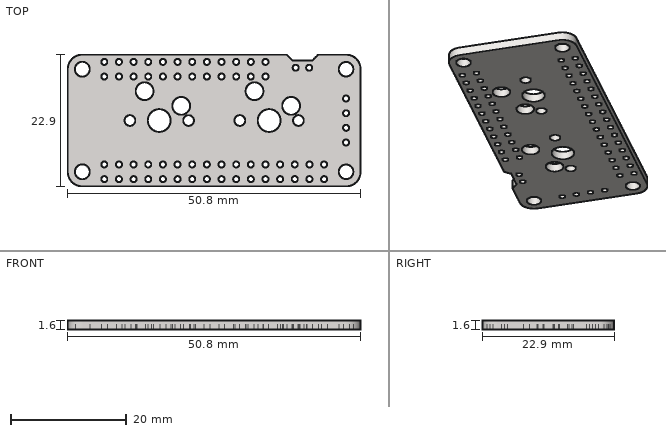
import cadquery as cq

length = 50.8
width = 22.85
thickness = 1.6
corner_radius = 2.55

pitch = 2.55
pin_diameter = 1.0
left_mount_diameter = 2.55
right_mount_diameter = 2.5
mount_inset = 2.55

outer_row_inset = 1.25
row_start_inset = 6.35
front_row_count = 16
back_row_count = 12
column_count = 4
column_inset = 2.55

notch_center_x = 15.3
notch_top_length = 5.5
notch_floor_length = 3.45
notch_depth = 1.0
notch_pin_spacing = 2.35
notch_pin_inset = 2.3

switch_spacing = 19.05
stem_diameter = 3.9
peg_diameter = 1.85
peg_offset = 2 * pitch
contact_diameter = 3.05
contact_offsets = [(-pitch, 2 * pitch), (1.5 * pitch, pitch)]


def drill(plate, points, diameter):
    """Cut through holes at the given XY points."""
    cutters = cq.Workplane("XY").pushPoints(points).circle(diameter / 2).extrude(thickness)
    return plate.cut(cutters)


def pin_row(count, y):
    """Points of one row, starting from the -X end of the plate."""
    start_x = -length / 2 + row_start_inset
    return [(start_x + i * pitch, y) for i in range(count)]


plate = cq.Workplane("XY").box(length, width, thickness, centered=(True, True, False))
plate = plate.edges("|Z").fillet(corner_radius)

edge_y = width / 2
floor_y = edge_y - notch_depth
notch = (
    cq.Workplane("XY")
    .polyline([
        (notch_center_x - notch_top_length / 2, edge_y),
        (notch_center_x - notch_floor_length / 2, floor_y),
        (notch_center_x + notch_floor_length / 2, floor_y),
        (notch_center_x + notch_top_length / 2, edge_y),
    ])
    .close()
    .extrude(thickness)
)
plate = plate.cut(notch)

mount_x = length / 2 - mount_inset
mount_y = width / 2 - mount_inset
for x, diameter in ((-mount_x, left_mount_diameter), (mount_x, right_mount_diameter)):
    plate = drill(plate, [(x, -mount_y), (x, mount_y)], diameter)

outer_row_y = width / 2 - outer_row_inset
inner_row_y = outer_row_y - pitch
pin_points = []
for row_y in (inner_row_y, outer_row_y):
    pin_points += pin_row(front_row_count, -row_y)
    pin_points += pin_row(back_row_count, row_y)
column_x = length / 2 - column_inset
pin_points += [(column_x, (i - (column_count - 1) / 2) * pitch) for i in range(column_count)]
notch_pin_y = edge_y - notch_pin_inset
pin_points += [(notch_center_x + side * notch_pin_spacing / 2, notch_pin_y) for side in (-1, 1)]
plate = drill(plate, pin_points, pin_diameter)

for switch_x in (-switch_spacing / 2, switch_spacing / 2):
    plate = drill(plate, [(switch_x, 0)], stem_diameter)
    plate = drill(plate, [(switch_x - peg_offset, 0), (switch_x + peg_offset, 0)], peg_diameter)
    contact_points = [(switch_x + dx, dy) for dx, dy in contact_offsets]
    plate = drill(plate, contact_points, contact_diameter)

result = plate